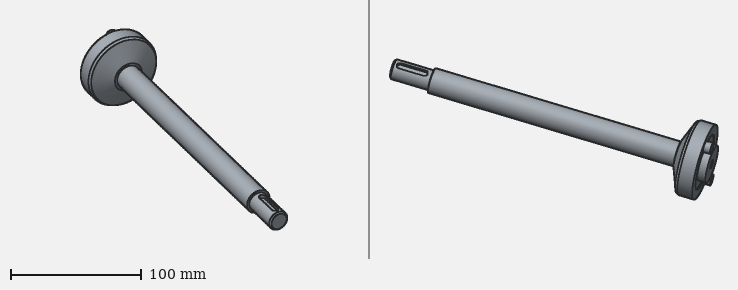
import cadquery as cq
import math

overall_length = 259.0
flange_front = 5.5
flange_rim_end = 17.5
cone_start = 19.7
cone_end = 27.0
journal_length = 32.0
shoulder = overall_length - journal_length

hub_diameter = 30.0
recess_diameter = 44.0
flange_diameter = 60.0
cone_large_diameter = 57.5
cone_small_diameter = 24.0
shaft_diameter = 20.0
journal_diameter = 16.0

recess_depth = 1.0
end_chamfer = 1.3

pin_diameter = 9.0
pin_circle_diameter = 46.4

hole_diameter = 6.75
hole_depth = 20.0
drill_point_angle = 120.0

key_width = 5.0
key_length = 25.0
key_depth = 3.0


def turned_body():
    """Hub, flange, cone, shaft and journal as one revolved half-section."""
    hub_radius = hub_diameter / 2
    recess_radius = recess_diameter / 2
    flange_radius = flange_diameter / 2
    shaft_radius = shaft_diameter / 2
    journal_radius = journal_diameter / 2
    recess_floor = flange_front + recess_depth

    return (
        cq.Workplane("XY")
        .moveTo(0, 0)
        .lineTo(0, hub_radius)
        .lineTo(recess_floor, hub_radius)
        .lineTo(recess_floor, recess_radius)
        .lineTo(flange_front, recess_radius)
        .lineTo(flange_front, flange_radius)
        .lineTo(flange_rim_end, flange_radius)
        .lineTo(cone_start, cone_large_diameter / 2)
        .lineTo(cone_end, cone_small_diameter / 2)
        .lineTo(cone_end, shaft_radius)
        .lineTo(shoulder, shaft_radius)
        .lineTo(shoulder, journal_radius)
        .lineTo(overall_length - end_chamfer, journal_radius)
        .lineTo(overall_length, journal_radius - end_chamfer)
        .lineTo(overall_length, 0)
        .close()
        .revolve(360, (0, 0, 0), (1, 0, 0))
    )


def drive_pins():
    """Two pins, one above and one below the hub, flush with the hub face."""
    pin_offset = pin_circle_diameter / 2
    return (
        cq.Workplane("YZ")
        .pushPoints([(0, pin_offset), (0, -pin_offset)])
        .circle(pin_diameter / 2)
        .extrude(flange_front + recess_depth)
    )


def centre_hole():
    """Drilled hole on the axis with a conical bottom."""
    hole_radius = hole_diameter / 2
    point_length = hole_radius / math.tan(math.radians(drill_point_angle / 2))
    return (
        cq.Workplane("XY")
        .moveTo(0, 0)
        .lineTo(0, hole_radius)
        .lineTo(hole_depth, hole_radius)
        .lineTo(hole_depth + point_length, 0)
        .close()
        .revolve(360, (0, 0, 0), (1, 0, 0))
    )


def keyway():
    """Slot centred along the journal, cut down from its top line."""
    journal_middle = shoulder + journal_length / 2
    key_floor = journal_diameter / 2 - key_depth
    return (
        cq.Workplane("XY", origin=(journal_middle, 0, key_floor))
        .slot2D(key_length, key_width)
        .extrude(key_depth)
    )


result = turned_body().union(drive_pins()).cut(centre_hole()).cut(keyway())